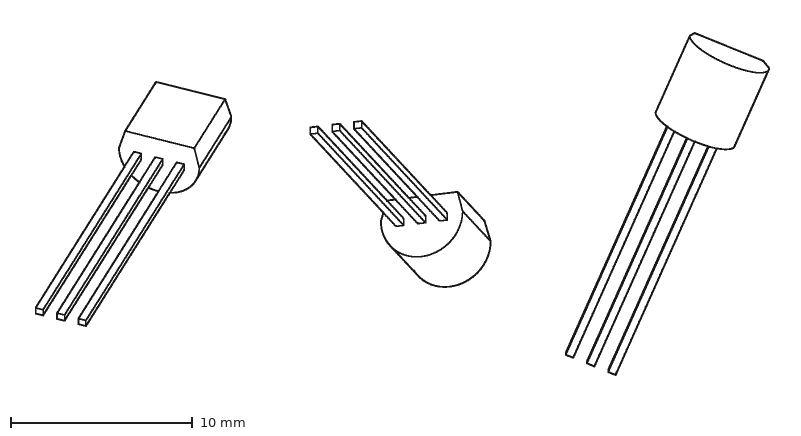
import cadquery as cq

total_length = 19.52
body_width = 4.76
body_length = 4.82
body_height = 3.61

round_radius = body_width / 2
upper_height = body_height - round_radius

side_inset = 0.33
end_inset = 0.1

lead_count = 3
lead_pitch = 1.27
lead_width = 0.45
lead_thickness = 0.41
lead_length = total_length - body_length


def make_round_half():
    """Half cylinder below the seam, running from Y = 0 to the back of the body."""
    return (
        cq.Workplane("XZ")
        .moveTo(-round_radius, 0)
        .threePointArc((0, -round_radius), (round_radius, 0))
        .close()
        .extrude(-body_length)
    )


def make_tapered_half():
    """Block above the seam, narrowing on all four sides toward its top face."""
    return (
        cq.Workplane("XY")
        .center(0, body_length / 2)
        .rect(body_width, body_length)
        .workplane(offset=upper_height)
        .rect(body_width - 2 * side_inset, body_length - 2 * end_inset)
        .loft(ruled=True)
    )


def make_lead(x_center):
    """Straight lead leaving the front of the body toward -Y."""
    return (
        cq.Workplane("XZ")
        .center(x_center, -lead_thickness / 2)
        .rect(lead_width, lead_thickness)
        .extrude(lead_length)
    )


result = make_round_half().union(make_tapered_half())
for index in range(lead_count):
    lead_x = (index - (lead_count - 1) / 2) * lead_pitch
    result = result.union(make_lead(lead_x))